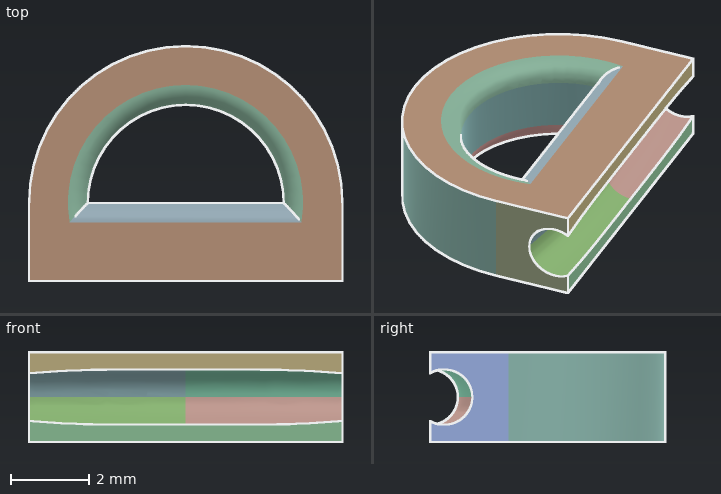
import cadquery as cq

width = 8.0
thickness = 2.3
straight_length = 2.0
outer_radius = width / 2

opening_radius = 2.5
rim_radius = 0.5

groove_radius = 0.7
groove_end_rise = 0.36
groove_bend_radius = (outer_radius**2 + groove_end_rise**2) / (2 * groove_end_rise)


def d_prism(radius, straight):
    """Half disc of full thickness, extended by a straight part towards -Y."""
    profile = cq.Workplane("XY").workplane(offset=-thickness / 2).moveTo(-radius, 0)
    profile = profile.threePointArc((0, radius), (radius, 0))
    if straight > 0:
        profile = profile.lineTo(radius, -straight).lineTo(-radius, -straight)
    return profile.close().extrude(thickness)


def bowed_groove():
    """Ring whose tube is centred on the flat face at mid-width."""
    return (
        cq.Workplane("YZ")
        .center(-straight_length, 0)
        .circle(groove_radius)
        .revolve(360, (groove_bend_radius, 0), (groove_bend_radius, 1))
    )


body = d_prism(outer_radius, straight_length).cut(d_prism(opening_radius, 0))

for rim_face in (">Z", "<Z"):
    inner_wire = body.faces(rim_face).val().innerWires()[0]
    body = body.newObject(inner_wire.Edges()).fillet(rim_radius)

result = body.cut(bowed_groove())